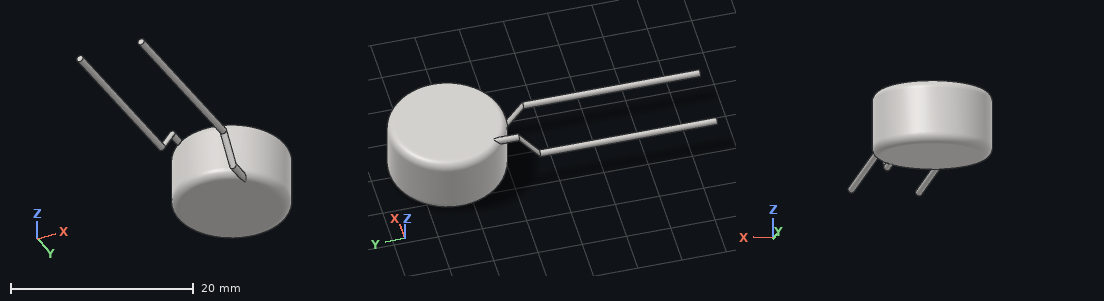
import cadquery as cq

body_diameter = 13.2
body_height = 7.1
edge_radius = 1.0

wire_diameter = 0.8
lead_pitch = 7.5
overall_length = 36.1
lead_start_y = -2.9
bend_gap = 0.5
straight_length = 20.0

wire_radius = wire_diameter / 2
lead_end_y = body_diameter / 2 - overall_length
first_bend_y = -body_diameter / 2 - bend_gap
second_bend_y = lead_end_y + straight_length
lead_offset_z = body_height / 2 - wire_radius


def make_body():
    """Disc with both rims rounded."""
    disc = cq.Workplane("XY", origin=(0, 0, -body_height / 2)).circle(body_diameter / 2)
    return disc.extrude(body_height).edges("%CIRCLE").fillet(edge_radius)


def wire_section(x, y, z):
    """Circular wire section facing along -Y."""
    return cq.Workplane("XZ", origin=(x, y, z)).circle(wire_radius)


def make_lead(x, start_z):
    """Wire leaving the body at start_z and sloping to the mid-plane."""
    root = wire_section(x, lead_start_y, start_z).extrude(lead_start_y - first_bend_y)
    slope = (
        wire_section(x, first_bend_y, start_z)
        .workplane(offset=first_bend_y - second_bend_y)
        .center(0, -start_z)
        .circle(wire_radius)
        .loft(ruled=True)
    )
    straight = wire_section(x, second_bend_y, 0).extrude(straight_length)
    return root.union(slope).union(straight)


result = make_body()
for side in (-1, 1):
    result = result.union(make_lead(side * lead_pitch / 2, -side * lead_offset_z))